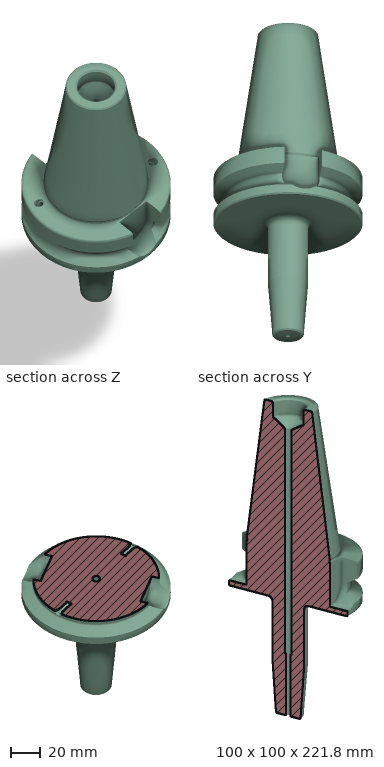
import cadquery as cq
import math

total_length = 221.8

gauge_z = 119.3
gauge_radius = 35.0
taper_ratio = 7 / 48
taper_end_chamfer = 0.9

flange_radius = 50.02
flange_bottom_z = 82.0
flange_top_z = 117.0
flange_top_fillet = 1.8
flange_bottom_chamfer = 0.9
neck_groove_depth = 0.5

groove_floor_radius = 42.4
groove_centre_z = 96.7
groove_floor_width = 7.0
groove_wall_angle = 30.0
groove_fillet = 0.9

keyway_width = 25.7
keyway_bottom_z = 86.0
keyway_floor_distance = 35.0

nose_radius = 13.5
nose_tip_radius = 10.54
nose_taper_top_z = 38.5
nose_tip_chamfer = 0.9
nose_fillet = 3.0

pilot_radius = 12.6
pilot_mouth_chamfer = 1.0
pilot_depth = 11.3
seat_radius = 10.54
seat_drop = 0.9
cone_end_radius = 3.8
cone_half_angle = 59.0
channel_radius = 2.5
channel_bottom_z = 44.4
through_radius = 1.5

port_angle = 70.0
port_circle_radius = 42.0
port_tilt = 30.0
port_radius = 3.0
port_depth = 2.7
duct_radius = 1.8
plug_recess_radius = 2.5
plug_recess_depth = 1.8
plug_hole_radius = 1.5


def revolved(half_profile):
    """Spin a closed (radius, height) outline about the Z axis."""
    return half_profile.close().revolve(360, (0, 0, 0), (0, 1, 0))


def circles_centred_at(height):
    """Select the circular edges whose centre lies on the axis at this height."""
    margin = groove_fillet / 10
    on_axis = cq.selectors.BoxSelector(
        (-margin, -margin, height - margin),
        (margin, margin, height + margin),
    )
    return cq.selectors.TypeSelector("CIRCLE") & on_axis


def make_body():
    taper_end_radius = gauge_radius - taper_ratio * (total_length - gauge_z)
    chamfer_start_radius = taper_end_radius + taper_ratio * taper_end_chamfer
    wall_height = (flange_radius - groove_floor_radius) * math.tan(math.radians(groove_wall_angle))
    floor_bottom_z = groove_centre_z - groove_floor_width / 2
    floor_top_z = groove_centre_z + groove_floor_width / 2
    rim_middle = flange_top_fillet * (1 - math.sqrt(0.5))
    fillet_middle = nose_fillet * (1 - math.sqrt(0.5))
    profile = (
        cq.Workplane("XZ")
        .moveTo(0, 0)
        .lineTo(nose_tip_radius - nose_tip_chamfer, 0)
        .lineTo(nose_tip_radius, nose_tip_chamfer)
        .lineTo(nose_radius, nose_taper_top_z)
        .lineTo(nose_radius, flange_bottom_z - nose_fillet)
        .threePointArc(
            (nose_radius + fillet_middle, flange_bottom_z - fillet_middle),
            (nose_radius + nose_fillet, flange_bottom_z),
        )
        .lineTo(flange_radius - flange_bottom_chamfer, flange_bottom_z)
        .lineTo(flange_radius, flange_bottom_z + flange_bottom_chamfer)
        .lineTo(flange_radius, floor_bottom_z - wall_height)
        .lineTo(groove_floor_radius, floor_bottom_z)
        .lineTo(groove_floor_radius, floor_top_z)
        .lineTo(flange_radius, floor_top_z + wall_height)
        .lineTo(flange_radius, flange_top_z - flange_top_fillet)
        .threePointArc(
            (flange_radius - rim_middle, flange_top_z - rim_middle),
            (flange_radius - flange_top_fillet, flange_top_z),
        )
        .lineTo(gauge_radius, flange_top_z)
        .lineTo(gauge_radius - neck_groove_depth, (flange_top_z + gauge_z) / 2)
        .lineTo(gauge_radius, gauge_z)
        .lineTo(chamfer_start_radius, total_length - taper_end_chamfer)
        .lineTo(chamfer_start_radius - taper_end_chamfer, total_length)
        .lineTo(0, total_length)
    )
    body = revolved(profile)
    for corner_z in (floor_bottom_z, floor_top_z):
        body = body.edges(circles_centred_at(corner_z)).fillet(groove_fillet)
    return body


def make_bore():
    pilot_bottom_z = total_length - pilot_depth
    seat_z = pilot_bottom_z - seat_drop
    cone_height = (seat_radius - cone_end_radius) / math.tan(math.radians(cone_half_angle))
    cone_end_z = seat_z - cone_height
    profile = (
        cq.Workplane("XZ")
        .moveTo(0, 0)
        .lineTo(through_radius, 0)
        .lineTo(through_radius, channel_bottom_z)
        .lineTo(channel_radius, channel_bottom_z)
        .lineTo(channel_radius, cone_end_z - (cone_end_radius - channel_radius))
        .lineTo(cone_end_radius, cone_end_z)
        .lineTo(seat_radius, seat_z)
        .lineTo(pilot_radius, pilot_bottom_z)
        .lineTo(pilot_radius, total_length - pilot_mouth_chamfer)
        .lineTo(pilot_radius + pilot_mouth_chamfer, total_length)
        .lineTo(0, total_length)
    )
    return revolved(profile)


def make_keyway():
    """Round-bottomed slot on the +X side, open at the rim and at the flange top."""
    half_width = keyway_width / 2
    arc_centre_z = keyway_bottom_z + half_width
    return (
        cq.Workplane("YZ", origin=(keyway_floor_distance, 0, 0))
        .moveTo(-half_width, gauge_z)
        .lineTo(-half_width, arc_centre_z)
        .threePointArc((0, keyway_bottom_z), (half_width, arc_centre_z))
        .lineTo(half_width, gauge_z)
        .close()
        .extrude(flange_radius)
    )


def make_coolant_port():
    """Tilted face port and the radial plug hole it meets, laid out along +X."""
    tilt = math.radians(port_tilt)
    drop = flange_top_z - groove_centre_z
    meeting_radius = port_circle_radius - drop * math.tan(tilt)
    inward_down = cq.Vector(-math.sin(tilt), 0, -math.cos(tilt))
    mouth = cq.Vector(port_circle_radius, 0, flange_top_z)
    start = mouth - inward_down * port_radius
    port = cq.Solid.makeCylinder(port_radius, port_radius + port_depth, start, inward_down)
    duct = cq.Solid.makeCylinder(duct_radius, drop / math.cos(tilt), mouth, inward_down)
    outward = cq.Vector(1, 0, 0)
    plug_hole = cq.Solid.makeCylinder(
        plug_hole_radius,
        groove_floor_radius - meeting_radius,
        cq.Vector(meeting_radius, 0, groove_centre_z),
        outward,
    )
    plug_recess = cq.Solid.makeCylinder(
        plug_recess_radius,
        flange_radius - groove_floor_radius + plug_recess_depth,
        cq.Vector(groove_floor_radius - plug_recess_depth, 0, groove_centre_z),
        outward,
    )
    return cq.Workplane(port.fuse(duct, plug_hole, plug_recess))


def rotated(tool, angle):
    return tool.rotate((0, 0, 0), (0, 0, 1), angle)


result = make_body().cut(make_bore())
for half_turn in (0, 180):
    result = result.cut(rotated(make_keyway(), half_turn))
    result = result.cut(rotated(make_coolant_port(), port_angle + half_turn))